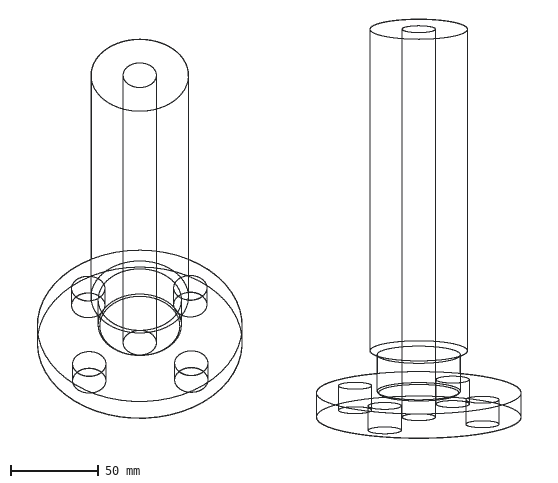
import cadquery as cq

total_height = 227.0
flange_diameter = 117.4
flange_thickness = 14.3

barrel_diameter = 55.8
hub_diameter = 47.7
hub_top = 36.5
shoulder_height = 2.3
hub_foot_chamfer = 1.0

bore_diameter = 19.0
bolt_hole_diameter = 19.0
bolt_circle_diameter = 82.6
bolt_count = 4


def make_flange():
    """Flat round flange resting on Z = 0."""
    return cq.Workplane("XY").circle(flange_diameter / 2).extrude(flange_thickness)


def make_stem():
    """Revolved hub, conical shoulder and barrel standing on the flange."""
    barrel_radius = barrel_diameter / 2
    hub_radius = hub_diameter / 2
    profile = (
        cq.Workplane("XZ")
        .moveTo(0, 0)
        .lineTo(hub_radius - hub_foot_chamfer, 0)
        .lineTo(hub_radius - hub_foot_chamfer, flange_thickness)
        .lineTo(hub_radius, flange_thickness + hub_foot_chamfer)
        .lineTo(hub_radius, hub_top)
        .lineTo(barrel_radius, hub_top + shoulder_height)
        .lineTo(barrel_radius, total_height)
        .lineTo(0, total_height)
        .close()
    )
    return profile.revolve(360, (0, 0, 0), (0, 1, 0))


def make_bore():
    """Straight bore through the full height."""
    return cq.Workplane("XY").circle(bore_diameter / 2).extrude(total_height)


def make_bolt_holes():
    """Bolt holes through the flange, on the X and Y axes."""
    return (
        cq.Workplane("XY")
        .polarArray(bolt_circle_diameter / 2, 0, 360, bolt_count)
        .circle(bolt_hole_diameter / 2)
        .extrude(flange_thickness)
    )


result = make_flange().union(make_stem()).cut(make_bore()).cut(make_bolt_holes())